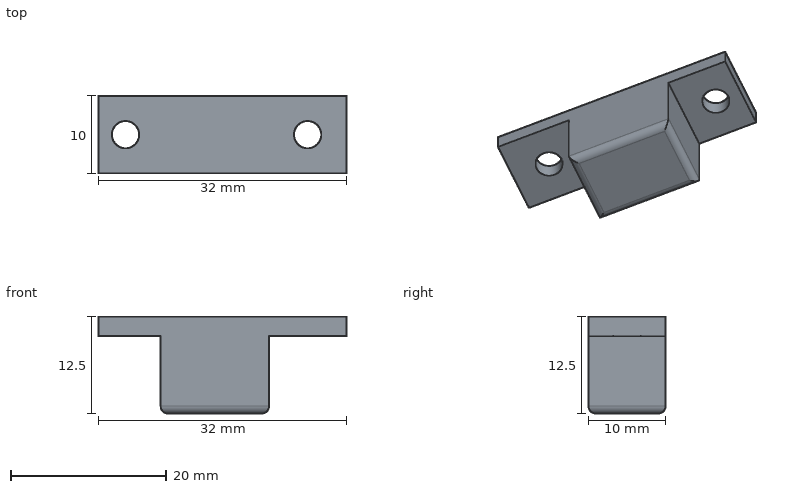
import cadquery as cq

plate_length = 32.0
depth = 10.0
plate_thickness = 2.5

total_height = 12.5
block_start = 8.0
block_length = 14.0
bottom_edge_radius = 1.0

hole_diameter = 3.5
first_hole_x = 3.5
hole_spacing = 23.5


def make_plate():
    return (
        cq.Workplane("XY")
        .box(plate_length, depth, plate_thickness, centered=False)
        .translate((0, 0, -plate_thickness))
    )


def make_block():
    """Full-depth block with all four bottom edges rounded."""
    return (
        cq.Workplane("XY")
        .box(block_length, depth, total_height, centered=False)
        .translate((block_start, 0, -total_height))
        .faces("<Z")
        .edges()
        .fillet(bottom_edge_radius)
    )


def make_holes():
    hole_centres = [(first_hole_x + i * hole_spacing, depth / 2) for i in range(2)]
    return (
        cq.Workplane("XY")
        .pushPoints(hole_centres)
        .circle(hole_diameter / 2)
        .extrude(-plate_thickness)
    )


result = make_plate().union(make_block()).cut(make_holes())